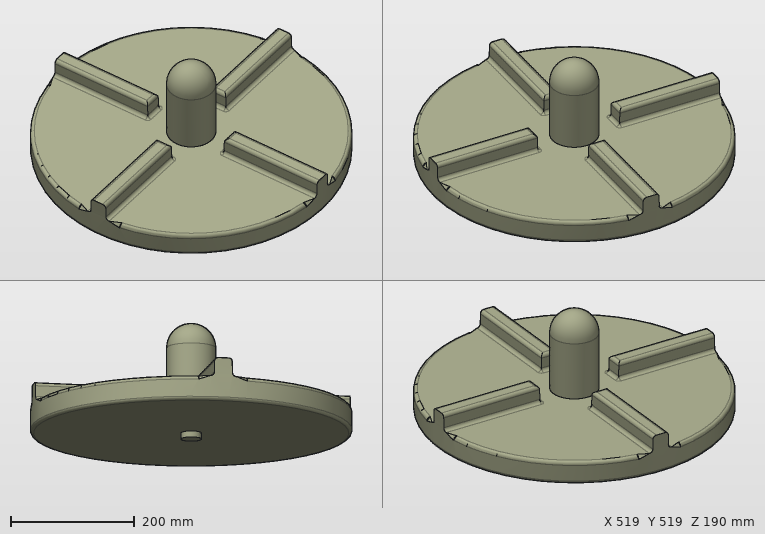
import cadquery as cq
import math

disc_radius = 259.5
disc_thickness = 40.0
bottom_edge_radius = 5.0

pillar_radius = 40.0
pillar_height = 140.0
spigot_diameter = 33.0
spigot_length = 10.0

rib_count = 4
rib_width = 30.0
rib_height = 30.0
rib_inner_radius = 75.0
rib_draft = 1.0
foot_height = 15.5
foot_corner_radius = 0.5

top_radius = 6.0

round_end = 40.0
fade_end = 21.5

rib_angles = [index * 360 / rib_count for index in range(rib_count)]

rib_reach = 1.2 * disc_radius
plate_side = 3 * disc_radius

zone_margin = 0.5


def turned(shape, angle):
    """Copy of a shape turned about the Z axis."""
    return shape.rotate((0, 0, 0), (0, 0, 1), angle)


def make_drafted_bar(height):
    """Drafted bar along +X on the disc, running out past the rim."""
    length = rib_reach - rib_inner_radius
    return (
        cq.Workplane("XY", origin=(rib_inner_radius + length / 2, 0, disc_thickness))
        .rect(length, rib_width)
        .extrude(height, taper=rib_draft)
    )


def make_ribbed_disc():
    """Disc and ribs with rounded rib feet, trimmed together to the round rim."""
    plate = cq.Workplane("XY").rect(plate_side, plate_side).extrude(disc_thickness)
    foot = make_drafted_bar(foot_height).edges("not(#Z)").fillet(foot_corner_radius)
    for angle in rib_angles:
        plate = plate.union(turned(foot, angle))
    zone_reach = rib_reach + zone_margin
    feet_zone = cq.selectors.BoxSelector(
        (-zone_reach, -zone_reach, disc_thickness - zone_margin),
        (zone_reach, zone_reach, disc_thickness + zone_margin),
    )
    plate = plate.edges(feet_zone).fillet(top_radius)
    rib = make_drafted_bar(rib_height).faces(">Z").edges().fillet(top_radius)
    for angle in rib_angles:
        plate = plate.union(turned(rib, angle))
    envelope = (
        cq.Workplane("XY")
        .circle(disc_radius)
        .extrude(disc_thickness + rib_height)
        .faces("<Z")
        .edges()
        .fillet(bottom_edge_radius)
    )
    return plate.intersect(envelope)


def make_rim_cutter():
    """Ring of material outside the rounded rim, left out beside each rib."""
    ring = (
        cq.Workplane("XZ")
        .moveTo(disc_radius - top_radius, disc_thickness)
        .radiusArc((disc_radius, disc_thickness - top_radius), top_radius)
        .lineTo(disc_radius + top_radius, disc_thickness - top_radius)
        .lineTo(disc_radius + top_radius, disc_thickness)
        .close()
        .revolve(360, (0, 0, 0), (0, 1, 0))
    )
    keep = cq.Workplane("XY").rect(plate_side, 2 * round_end).extrude(2 * disc_thickness)
    return ring.cut(keep).cut(turned(keep, 90))


def make_fade_cutter():
    """Wedge beside the +X rib that fades the rim rounding out in a sloping facet."""
    rim_x = math.sqrt(disc_radius**2 - fade_end**2)
    inner_x = math.sqrt((disc_radius - top_radius) ** 2 - round_end**2)
    corners = [
        cq.Vector(rim_x, fade_end, disc_thickness),
        cq.Vector(inner_x, round_end, disc_thickness),
        cq.Vector(rim_x, round_end, disc_thickness),
    ]
    top_face = cq.Face.makeFromWires(cq.Wire.makePolygon(corners, close=True))
    slope = cq.Vector(top_radius, 0, -top_radius)
    return cq.Workplane(cq.Solid.extrudeLinear(top_face, slope))


def make_pillar():
    """Round pillar with a hemispherical top, standing through the disc."""
    top = disc_thickness + pillar_height
    return (
        cq.Workplane("XZ")
        .lineTo(pillar_radius, 0)
        .lineTo(pillar_radius, top - pillar_radius)
        .radiusArc((0, top), -pillar_radius)
        .close()
        .revolve(360, (0, 0, 0), (0, 1, 0))
    )


def make_spigot():
    """Short round spigot below the disc."""
    return cq.Workplane("XY").circle(spigot_diameter / 2).extrude(-spigot_length)


body = make_ribbed_disc().cut(make_rim_cutter())
fade = make_fade_cutter()
for angle in rib_angles:
    body = body.cut(turned(fade, angle))
    body = body.cut(turned(fade.mirror("XZ"), angle))

result = body.union(make_pillar()).union(make_spigot())